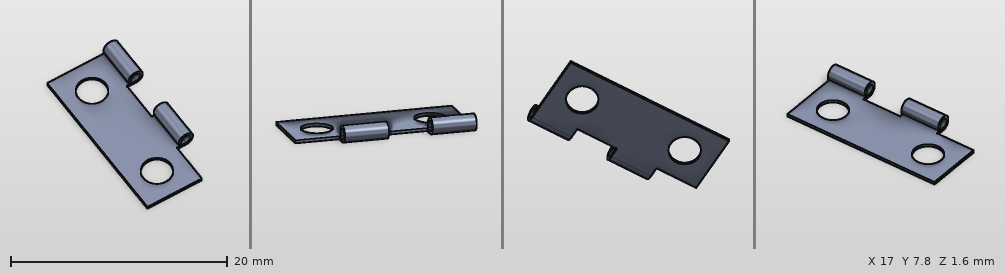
import cadquery as cq

leaf_length = 17.0
leaf_width = 6.0
thickness = 0.3

knuckle_outer_radius = 0.8
knuckle_inner_radius = knuckle_outer_radius - thickness
knuckle_axis_y = 7.0
knuckle_axis_z = knuckle_outer_radius
knuckle_length = leaf_length / 4
knuckle_starts_x = (0.0, 2 * knuckle_length)
lip_length = 0.3

hole_diameter = 3.0
hole_end_margin = 3.0
hole_y = leaf_width / 2


def make_leaf():
    """Flat rectangular sheet with two screw holes."""
    hole_centers = [(hole_end_margin, hole_y), (leaf_length - hole_end_margin, hole_y)]
    sheet = cq.Workplane("XY").rect(leaf_length, leaf_width, centered=False).extrude(thickness)
    holes = cq.Workplane("XY").pushPoints(hole_centers).circle(hole_diameter / 2).extrude(thickness)
    return sheet.cut(holes)


def make_knuckle(start_x):
    """Strip that leaves the rear edge, rolls three quarters of a turn and ends in a lip."""
    roll_front_outer_y = knuckle_axis_y - knuckle_outer_radius
    roll_front_inner_y = knuckle_axis_y - knuckle_inner_radius
    lip_end_z = knuckle_axis_z - lip_length

    return (
        cq.Workplane("YZ", origin=(start_x, 0, 0))
        .moveTo(leaf_width, 0)
        .lineTo(knuckle_axis_y, 0)
        .tangentArcPoint((roll_front_outer_y, knuckle_axis_z), relative=False)
        .lineTo(roll_front_outer_y, lip_end_z)
        .lineTo(roll_front_inner_y, lip_end_z)
        .lineTo(roll_front_inner_y, knuckle_axis_z)
        .tangentArcPoint((knuckle_axis_y, thickness), relative=False)
        .lineTo(leaf_width, thickness)
        .close()
        .extrude(knuckle_length)
    )


result = make_leaf()
for knuckle_start_x in knuckle_starts_x:
    result = result.union(make_knuckle(knuckle_start_x))